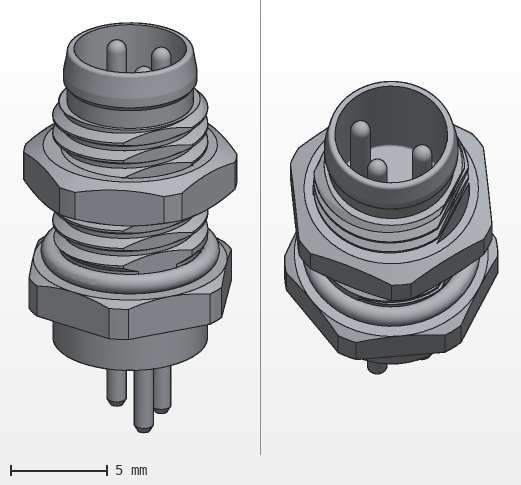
import cadquery as cq
import math

base_bottom = 4.54
flange_bottom = 7.01
flange_top = 9.03
thread_bottom = 10.02
nut_bottom = 13.02
nut_top = 15.52
thread_top = 18.0
neck_top = 19.0
head_widest_low = 19.25
head_widest_high = 19.76
total_height = 21.0

base_radius = 4.0
neck_radius = 3.25
head_radius = 3.45
head_tip_radius = 3.23
head_rim_round = 0.17
socket_radius = 2.9
socket_floor_round = 0.1
socket_floor = 15.0

hex_across_flats = 10.0
hex_corner_radius = 5.5
flange_bevel_radius = 5.0
flange_bevel_drop = 0.3
nut_bevel_radius = 4.5
nut_bevel_drop = 0.48
nut_bore_radius = 4.03

ring_section_radius = 0.5
ring_centre_radius = 4.1
ring_middle = flange_top + 0.48

pitch = 1.0
thread_radius = 4.0
thread_chamfer = 0.34
flank_angle = math.pi / 6
crest_width = pitch / 8
groove_floor_width = pitch / 4
groove_depth = (pitch - crest_width - groove_floor_width) / 2 / math.tan(flank_angle)
groove_start = 10.27
flat_distance = 3.5

pin_radius = 0.5
pin_offset = 1.75
pin_top = 20.7
pin_tip_radius = 0.32
pin_tip_height = 0.34


def cylinder(radius, bottom, top):
    return cq.Workplane("XY").workplane(offset=bottom).circle(radius).extrude(top - bottom)


def revolve_profile(profile):
    return profile.close().revolve(360, (0, 0, 0), (0, 1, 0))


def hexagon(bottom, top, first_corner_angle, bevel_radius, bevel_drop, bevel_bottom):
    """Hexagon with rounded corners and a turned bevel on its top and, if asked, bottom edge."""
    corner_diameter = hex_across_flats / math.cos(math.pi / 6)
    prism = (
        cq.Workplane("XY")
        .workplane(offset=bottom)
        .transformed(rotate=(0, 0, first_corner_angle))
        .polygon(6, corner_diameter)
        .extrude(top - bottom)
    )
    profile = cq.Workplane("XZ").moveTo(0, bottom)
    if bevel_bottom:
        profile = profile.lineTo(bevel_radius, bottom).lineTo(hex_corner_radius, bottom + bevel_drop)
    else:
        profile = profile.lineTo(hex_corner_radius, bottom)
    profile = (
        profile.lineTo(hex_corner_radius, top - bevel_drop)
        .lineTo(bevel_radius, top)
        .lineTo(0, top)
    )
    return prism.intersect(revolve_profile(profile))


def flat_gaps():
    """The two round segments outside the flats of the rod, running on through the nut."""
    slab = cq.Workplane("XY").box(2 * flat_distance, 4 * nut_bore_radius, 3 * total_height)
    return cylinder(nut_bore_radius, flange_top, thread_top).cut(slab)


def thread_groove():
    """Helical groove from its blunt lower end up past the top of the thread."""
    clearance = 0.06
    rise = thread_top + pitch - groove_start
    half_floor = groove_floor_width / 2
    half_mouth = half_floor + (groove_depth + clearance) * math.tan(flank_angle)
    floor_radius = thread_radius - groove_depth
    mouth_radius = thread_radius + clearance
    path = cq.Workplane(obj=cq.Wire.makeHelix(pitch, rise, thread_radius))
    groove = (
        cq.Workplane("XZ")
        .moveTo(floor_radius, -half_floor)
        .lineTo(mouth_radius, -half_mouth)
        .lineTo(mouth_radius, half_mouth)
        .lineTo(floor_radius, half_floor)
        .close()
        .sweep(path, isFrenet=True)
    )
    return groove.rotate((0, 0, 0), (0, 0, 1), 90).translate((0, 0, groove_start))


def threaded_rod():
    """Thread with chamfered ends, interrupted where the nut sits."""
    stock = cylinder(thread_radius, flange_bottom, total_height).cut(thread_groove())
    oversize = 0.2
    envelope = (
        cylinder(thread_radius + oversize, thread_bottom, thread_top)
        .faces("<Z or >Z")
        .chamfer(thread_chamfer + oversize)
        .cut(cylinder(2 * thread_radius, nut_bottom, nut_top))
    )
    return stock.intersect(envelope)


def ring_seat():
    return cylinder(thread_radius - thread_chamfer, flange_top, thread_bottom)


def head():
    """Neck and plug head above the thread."""
    profile = (
        cq.Workplane("XZ")
        .moveTo(0, thread_top)
        .lineTo(neck_radius, thread_top)
        .lineTo(neck_radius, neck_top)
        .lineTo(head_radius, head_widest_low)
        .lineTo(head_radius, head_widest_high)
        .lineTo(head_tip_radius, total_height)
        .lineTo(0, total_height)
    )
    return revolve_profile(profile).faces(">Z").edges().fillet(head_rim_round)


def socket():
    """Blind bore for the mating plug, rounded around its floor."""
    return cylinder(socket_radius, socket_floor, total_height).faces("<Z").edges().fillet(socket_floor_round)


def base_and_flange():
    flange = hexagon(flange_bottom, flange_top, 30, flange_bevel_radius, flange_bevel_drop, False)
    return cylinder(base_radius, base_bottom, flange_bottom).union(flange)


def sealing_ring():
    section = cq.Workplane("XZ").moveTo(ring_centre_radius, ring_middle).circle(ring_section_radius)
    return section.revolve(360, (0, 0, 0), (0, 1, 0))


def nut():
    return hexagon(nut_bottom, nut_top, 0, nut_bevel_radius, nut_bevel_drop, True)


def pin(x, y):
    """Pin with a tapered solder tip and a domed contact tip."""
    profile = (
        cq.Workplane("XZ")
        .lineTo(pin_tip_radius, 0)
        .lineTo(pin_radius, pin_tip_height)
        .lineTo(pin_radius, pin_top - pin_radius)
        .radiusArc((0, pin_top), -pin_radius)
    )
    return revolve_profile(profile).translate((x, y, 0))


result = threaded_rod().union(nut()).union(ring_seat()).cut(flat_gaps())
result = result.union(base_and_flange()).union(sealing_ring()).union(head()).cut(socket())
for pin_x, pin_y in [(-pin_offset, 0), (pin_offset, 0), (0, pin_offset)]:
    result = result.union(pin(pin_x, pin_y))